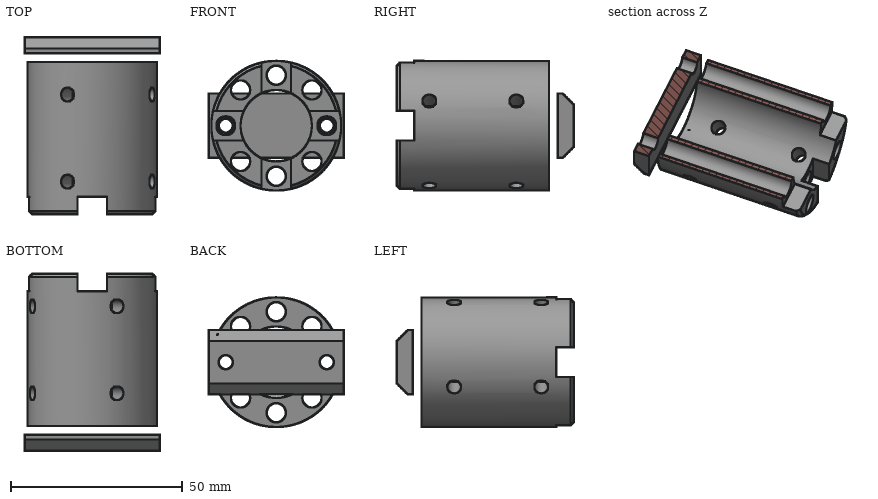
import cadquery as cq
import math

total_length = 51.75
housing_length = 44.5
bar_gap = 2.5
bar_front = housing_length + bar_gap
bar_thickness = total_length - bar_front

housing_diameter = 37.95
bore_diameter = 20.8
front_chamfer = 1.0
slot_width = 8.6
slot_depth = 5.1

axial_hole_diameter = 5.55
axial_hole_count = 8
bolt_circle_diameter = 29.5

radial_hole_diameter = 4.05
radial_hole_count = 4
radial_ring_spacing = 25.4
radial_first_angle = 180.0 / axial_hole_count
ring_positions = [(housing_length + side * radial_ring_spacing) / 2 for side in (-1, 1)]

bar_length = 39.5
bar_height = 18.85
bar_bevel = 3.25
bar_hole_diameter = 4.05


def cylinder_along_y(diameter, start, length):
    """Cylinder on the Y axis running from Y = start towards +Y."""
    return cq.Workplane("XZ", origin=(0, start, 0)).circle(diameter / 2).extrude(-length)


def cut_cross_slots(body):
    """Cut two crossing slots into the front face."""
    for width, height in ((housing_diameter, slot_width), (slot_width, housing_diameter)):
        slot = cq.Workplane("XZ").rect(width, height).extrude(-slot_depth)
        body = body.cut(slot)
    return body


def cut_axial_holes(body):
    """Drill the circle of holes through the full housing length."""
    holes = (
        cq.Workplane("XZ")
        .polarArray(bolt_circle_diameter / 2, 0, 360, axial_hole_count)
        .circle(axial_hole_diameter / 2)
        .extrude(-housing_length)
    )
    return body.cut(holes)


def cut_radial_holes(body):
    """Drill each ring of holes from the axis outwards through the wall."""
    for y in ring_positions:
        for index in range(radial_hole_count):
            angle = math.radians(radial_first_angle + index * 360 / radial_hole_count)
            direction = cq.Vector(math.cos(angle), 0, math.sin(angle))
            hole = cq.Solid.makeCylinder(
                radial_hole_diameter / 2, housing_diameter, cq.Vector(0, y, 0), direction
            )
            body = body.cut(cq.Workplane(hole))
    return body


def make_housing():
    body = cylinder_along_y(housing_diameter, 0, housing_length)
    body = body.faces("<Y").chamfer(front_chamfer)
    body = body.cut(cylinder_along_y(bore_diameter, 0, housing_length))
    body = cut_cross_slots(body)
    body = cut_axial_holes(body)
    return cut_radial_holes(body)


def make_clamp_bar():
    """Bar with bevelled long rear edges and two holes aligned with the bolt circle."""
    bar = cq.Workplane("XY").box(bar_length, bar_thickness, bar_height)
    bar = bar.translate((0, bar_front + bar_thickness / 2, 0))
    bar = bar.faces(">Y").edges("|X").chamfer(bar_bevel)
    holes = (
        cq.Workplane("XZ", origin=(0, bar_front, 0))
        .pushPoints([(side * bolt_circle_diameter / 2, 0) for side in (-1, 1)])
        .circle(bar_hole_diameter / 2)
        .extrude(-bar_thickness)
    )
    return bar.cut(holes)


housing = make_housing()
clamp_bar = make_clamp_bar()

result = cq.Compound.makeCompound([housing.solids().val(), clamp_bar.solids().val()])